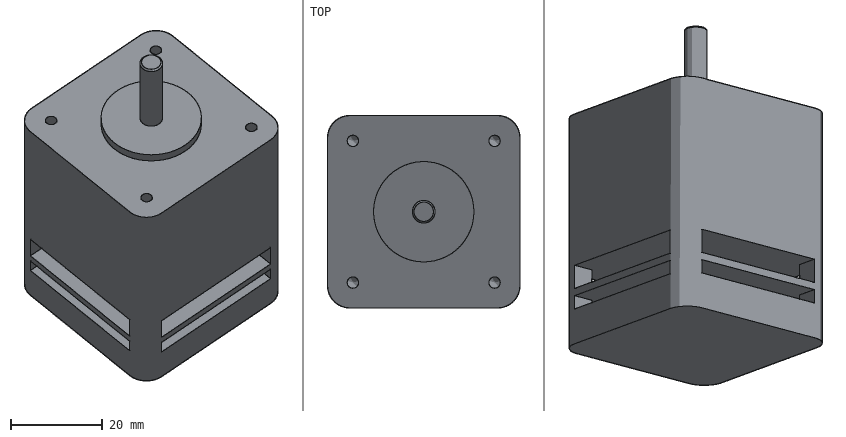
import cadquery as cq

total_height = 73.0
body_width = 42.2
body_height = 53.0
corner_radius = 5.0

boss_diameter = 22.0
boss_height = 2.0
shaft_diameter = 5.0
shaft_chamfer = 0.4

hole_spacing = 31.0
hole_diameter = 2.5
hole_depth = 4.5
drill_point_depth = 0.7

opening_width = body_width - 2 * corner_radius
base_top = 8.0
plate_bottom = 11.1
plate_top = 12.8
motor_bottom = 18.1
openings = [(base_top, plate_bottom), (plate_top, motor_bottom)]


def make_body():
    block = cq.Workplane("XY").box(body_width, body_width, body_height, centered=(True, True, False))
    return block.edges("|Z").fillet(corner_radius)


def make_opening(bottom, top):
    """Cross-shaped gap, open on all four sides and leaving the corner posts."""
    height = top - bottom
    level = cq.Workplane("XY").workplane(offset=bottom)
    along_x = level.box(body_width, opening_width, height, centered=(True, True, False))
    along_y = level.box(opening_width, body_width, height, centered=(True, True, False))
    return along_x.union(along_y)


def make_shaft():
    shaft = cq.Workplane("XY").workplane(offset=body_height).circle(shaft_diameter / 2)
    return shaft.extrude(total_height - body_height).faces(">Z").chamfer(shaft_chamfer)


def make_mounting_holes():
    """Revolved hole profile, repeated at the four corners."""
    radius = hole_diameter / 2
    floor = body_height - hole_depth
    profile = (
        cq.Workplane("XZ")
        .moveTo(0, body_height)
        .lineTo(radius, body_height)
        .lineTo(radius, floor)
        .lineTo(0, floor - drill_point_depth)
        .close()
    )
    hole = profile.revolve(360, (0, 0, 0), (0, 1, 0)).val()
    corners = cq.Workplane("XY").rect(hole_spacing, hole_spacing, forConstruction=True)
    return corners.vertices().eachpoint(lambda place: hole.moved(place), combine=False)


boss = cq.Workplane("XY").workplane(offset=body_height).circle(boss_diameter / 2).extrude(boss_height)

result = make_body()
for opening_bottom, opening_top in openings:
    result = result.cut(make_opening(opening_bottom, opening_top))
result = result.union(boss).union(make_shaft()).cut(make_mounting_holes())